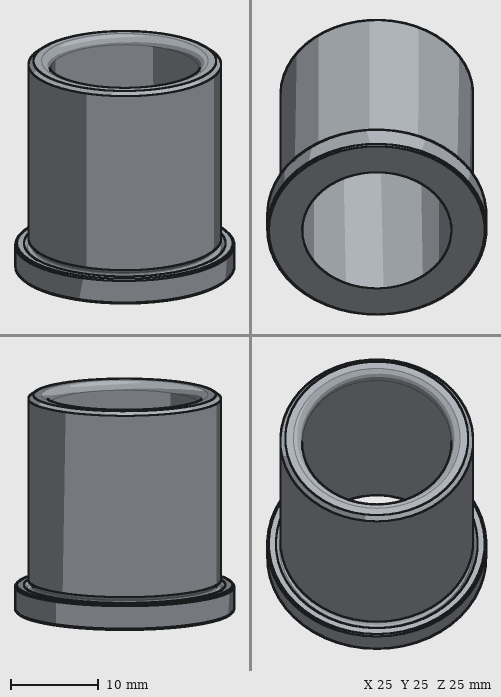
import cadquery as cq
import math

height = 25.0
flange_radius = 12.5
flange_height = 3.0
flange_chamfer = 0.2
body_radius = 11.0
bore_radius = 8.5
bore_mouth_radius = 1.0

lead_width = 0.58
lead_height = 0.42

undercut_top = flange_height + 0.58
undercut_outer_radius = 11.5
undercut_wall_drop = 0.4
undercut_offset = (undercut_outer_radius - body_radius + undercut_top - flange_height) / 2
undercut_bottom_radius = undercut_offset / math.sqrt(2)
lower_wall_end = (undercut_outer_radius - undercut_wall_drop, flange_height - undercut_wall_drop)
upper_wall_end = (lower_wall_end[0] - undercut_offset, lower_wall_end[1] + undercut_offset)
undercut_bottom = (
    (lower_wall_end[0] + upper_wall_end[0]) / 2 - undercut_bottom_radius / math.sqrt(2),
    (lower_wall_end[1] + upper_wall_end[1]) / 2 - undercut_bottom_radius / math.sqrt(2),
)

section = (
    cq.Workplane("XZ")
    .moveTo(bore_radius, 0)
    .lineTo(flange_radius - flange_chamfer, 0)
    .lineTo(flange_radius, flange_chamfer)
    .lineTo(flange_radius, flange_height - flange_chamfer)
    .lineTo(flange_radius - flange_chamfer, flange_height)
    .lineTo(undercut_outer_radius, flange_height)
    .lineTo(*lower_wall_end)
    .threePointArc(undercut_bottom, upper_wall_end)
    .lineTo(body_radius, undercut_top)
    .lineTo(body_radius, height - lead_height)
    .lineTo(body_radius - lead_width, height)
    .lineTo(bore_radius + bore_mouth_radius, height)
    .radiusArc((bore_radius, height - bore_mouth_radius), -bore_mouth_radius)
    .close()
)

result = section.revolve(360, (0, 0, 0), (0, 1, 0))